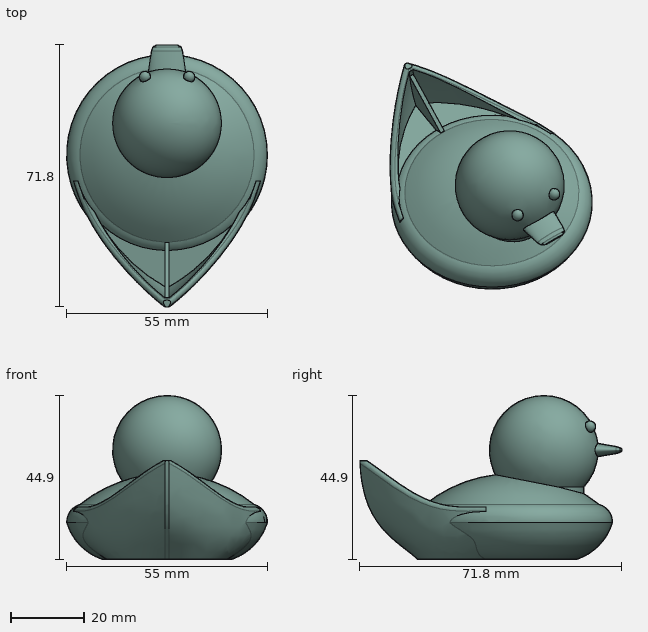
import cadquery as cq
import math

BODY_RADIUS = 27.5
BASE_RADIUS = 17.7
BOWL_MID = (24.05, 4.1)
EQUATOR_Z = 10.05
SHOULDER_RADIUS = 23.8
SHOULDER_MID = (26.7, 12.9)
SHOULDER_Z = 15.1
BACK_TOP_Z = 23.5

TOTAL_HEIGHT = 44.9
HEAD_RADIUS = 14.9
HEAD_Y = 8.7
HEAD_Z = TOTAL_HEIGHT - HEAD_RADIUS
NECK_RADIUS = 11.0
NECK_BOTTOM_Z = 14.35
NECK_TOP_Z = 21.55
EYE_RADIUS = 1.6
EYE_X = 6.0
EYE_Y = 21.3
EYE_Z = 36.3

TOTAL_LENGTH = 71.8
BEAK_TIP_Y = 30.15
BEAK_ROOT = (20.8, 10.8, 4.6)
BEAK_SHOULDER = (28.5, 8.55, 2.0)
BEAK_CORNER = (29.6, 7.75, 1.3)
BEAK_TIP = (BEAK_TIP_Y, 5.75, 0.5)

TAIL_END_Y = BEAK_TIP_Y - TOTAL_LENGTH
TAIL_TOP_Z = 27.1
KEEL_WIDTH = 1.2
RIM_ROUND = 1.15
CUT_MARGIN = 1.4
TIP_CLEARANCE = 5.75
TAIL_FRONT_CLEARANCE = 14.35
RIB_OVERLAP = 2.15
RIB_TOP_Z = 15.0
RIB_END_TOP_Z = 24.8

TAIL_STATIONS = [
    (0.0, 16.2, -7.2, -25.85, 5.75),
    (5.0, 23.25, -7.2, -32.0, 5.0),
    (10.05, 25.5, -7.2, -36.75, 4.3),
    (15.1, 25.5, -7.2, -39.5, 3.9),
    (20.8, 25.5, -7.2, -41.05, 3.45),
    (TAIL_TOP_Z, 25.5, -7.2, TAIL_END_Y, 3.0),
]

HOLLOW_FLOOR_Z = 13.65
HOLLOW_STATIONS = [
    (HOLLOW_FLOOR_Z, 23.7, -3.6, -36.05, 4.45),
    (20.8, 23.7, -3.6, -38.4, 3.95),
    (TAIL_TOP_Z + CUT_MARGIN, 23.7, -3.6, -39.1, 3.5),
]

RIM_CURVE = [
    (-3.6, 14.35),
    (-10.05, 14.3),
    (-18.45, 14.85),
    (-27.15, 18.3),
    (-33.6, 22.6),
    (-39.8, TAIL_TOP_Z),
]


def make_body():
    profile = (
        cq.Workplane("XZ")
        .lineTo(BASE_RADIUS, 0)
        .threePointArc(BOWL_MID, (BODY_RADIUS, EQUATOR_Z))
        .threePointArc(SHOULDER_MID, (SHOULDER_RADIUS, SHOULDER_Z))
    )
    rise = BACK_TOP_Z - SHOULDER_Z
    cap_radius = (SHOULDER_RADIUS**2 + rise**2) / (2 * rise)
    mid_radius = SHOULDER_RADIUS / 2
    mid_z = BACK_TOP_Z - cap_radius + math.sqrt(cap_radius**2 - mid_radius**2)
    profile = profile.threePointArc((mid_radius, mid_z), (0, BACK_TOP_Z)).close()
    return profile.revolve(360, (0, 0, 0), (0, 1, 0))


def make_head():
    head = cq.Workplane("XY").sphere(HEAD_RADIUS).translate((0, HEAD_Y, HEAD_Z))
    neck = (
        cq.Workplane("XY", origin=(0, HEAD_Y, NECK_BOTTOM_Z))
        .circle(NECK_RADIUS)
        .extrude(NECK_TOP_Z - NECK_BOTTOM_Z)
    )
    head = head.union(neck)
    for side in (-1, 1):
        eye = cq.Workplane("XY").sphere(EYE_RADIUS).translate((side * EYE_X, EYE_Y, EYE_Z))
        head = head.union(eye)
    return head


def beak_piece(start, end):
    """Ruled taper between two elliptical stations."""
    start_y, start_width, start_height = start
    end_y, end_width, end_height = end
    plane = cq.Plane(origin=(0, start_y, HEAD_Z), xDir=(1, 0, 0), normal=(0, 1, 0))
    return (
        cq.Workplane(plane)
        .ellipse(start_width / 2, start_height / 2)
        .workplane(offset=end_y - start_y)
        .ellipse(end_width / 2, end_height / 2)
        .loft(ruled=True, combine=True)
    )


def make_beak():
    beak = beak_piece(BEAK_ROOT, BEAK_SHOULDER)
    beak = beak.union(beak_piece(BEAK_SHOULDER, BEAK_CORNER))
    return beak.union(beak_piece(BEAK_CORNER, BEAK_TIP))


def tail_section(station):
    """Horizontal outline of the tail: two bowed walls meeting at the keel."""
    z, front_x, front_y, keel_y, bow = station
    keel_x = KEEL_WIDTH / 2
    chord = math.hypot(front_x - keel_x, front_y - keel_y)
    mid_x = (front_x + keel_x) / 2 + bow * (front_y - keel_y) / chord
    mid_y = (front_y + keel_y) / 2 - bow * (front_x - keel_x) / chord
    return (
        cq.Workplane("XY", origin=(0, 0, z))
        .moveTo(-front_x, front_y)
        .lineTo(front_x, front_y)
        .threePointArc((mid_x, mid_y), (keel_x, keel_y))
        .lineTo(-keel_x, keel_y)
        .threePointArc((-mid_x, mid_y), (-front_x, front_y))
        .close()
        .val()
    )


def tail_loft(stations):
    wires = [tail_section(station) for station in stations]
    return cq.Workplane(cq.Solid.makeLoft(wires))


def side_prism(outline, width):
    return outline.close().extrude(width / 2, both=True)


def make_tail():
    below_rim = (
        cq.Workplane("YZ")
        .moveTo(RIM_CURVE[0][0], -CUT_MARGIN)
        .lineTo(*RIM_CURVE[0])
        .spline(RIM_CURVE[1:], includeCurrent=True)
        .lineTo(TAIL_END_Y - CUT_MARGIN, TAIL_TOP_Z)
        .lineTo(TAIL_END_Y - CUT_MARGIN, -CUT_MARGIN)
    )
    hull = tail_loft(TAIL_STATIONS).intersect(side_prism(below_rim, 2 * BODY_RADIUS))
    walls = round_rim(hull).cut(tail_loft(HOLLOW_STATIONS))

    rib = (
        cq.Workplane("YZ")
        .moveTo(-SHOULDER_RADIUS + RIB_OVERLAP, 0)
        .lineTo(-SHOULDER_RADIUS + RIB_OVERLAP, RIB_TOP_Z)
        .lineTo(-SHOULDER_RADIUS, RIB_TOP_Z)
        .lineTo(TAIL_END_Y + RIB_OVERLAP, RIB_END_TOP_Z)
        .lineTo(TAIL_END_Y, RIB_END_TOP_Z)
        .lineTo(TAIL_END_Y, 0)
    )
    return walls.union(side_prism(rib, KEEL_WIDTH).intersect(tail_loft(TAIL_STATIONS)))


def round_rim(hull):
    """Round the long outer edges of the rim."""
    long_edges = cq.selectors.BoxSelector(
        (-BODY_RADIUS, TAIL_END_Y + TIP_CLEARANCE, EQUATOR_Z),
        (BODY_RADIUS, -TAIL_FRONT_CLEARANCE, TAIL_TOP_Z),
    )
    rim = hull.faces("%EXTRUSION").edges(long_edges)
    return rim.fillet(RIM_ROUND)


result = make_body().union(make_head()).union(make_beak()).union(make_tail())